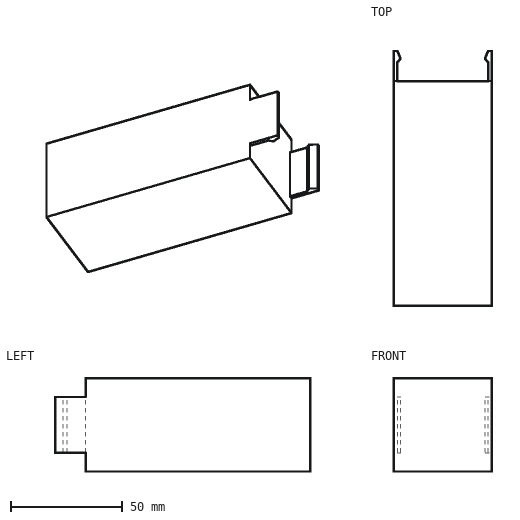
import cadquery as cq

width = 44.0
total_length = 114.2
height = 41.8

arm_length = 13.6
arm_height = 25.0
arm_thickness = 1.7
hook_depth = 1.5
hook_tip_offset = 3.5
hook_base_offset = 5.2

body_length = total_length - arm_length


def make_body():
    """Rectangular block with its front face at Y = 0, centred in X and Z."""
    return cq.Workplane("XY").box(width, body_length, height, centered=(True, False, True))


def make_left_arm():
    """Clip arm flush with the -X side, with a hook pointing inward."""
    outer_x = -width / 2
    inner_x = outer_x + arm_thickness
    profile = [
        (outer_x, body_length),
        (inner_x, body_length),
        (inner_x, total_length - hook_base_offset),
        (inner_x + hook_depth, total_length - hook_tip_offset),
        (inner_x, total_length),
        (outer_x, total_length),
    ]
    return cq.Workplane("XY").polyline(profile).close().extrude(arm_height / 2, both=True)


left_arm = make_left_arm()
right_arm = left_arm.mirror("YZ")
result = make_body().union(left_arm).union(right_arm)